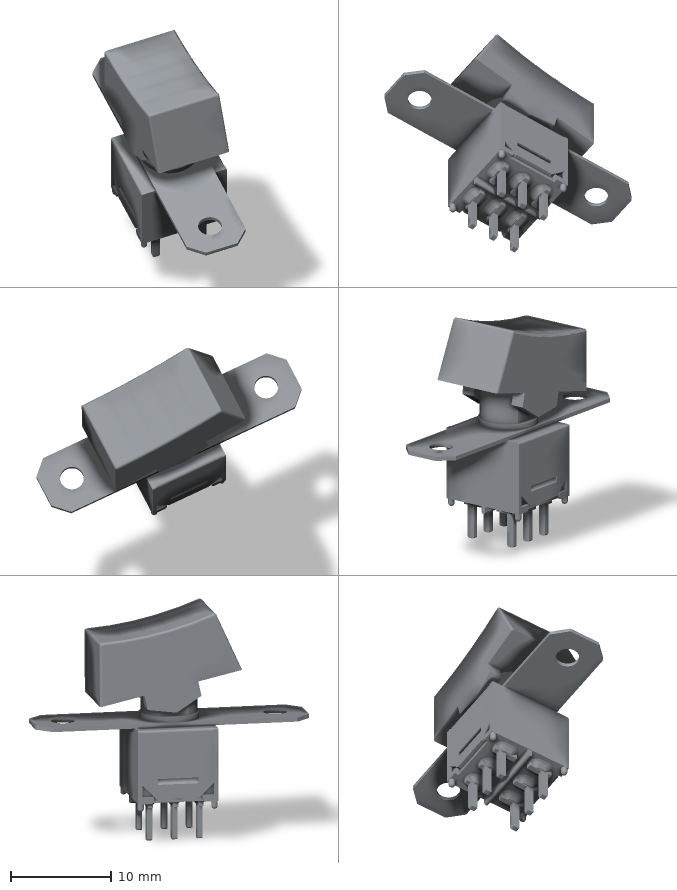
import cadquery as cq
import math


plate_length = 27.8
plate_width = 6.35
plate_thickness = 0.42
plate_chamfer = 1.47
mount_hole_dia = 2.35
mount_hole_x = 10.8

flange_dia = 6.0
flange_top = 0.97
bushing_dia = 5.65
bushing_width = 4.8
bushing_top = 5.55

case_length = 8.15
case_width = 9.15
case_height = 7.45
case_edge_radius = 0.17
recess_length = 7.3
recess_height = 6.79
recess_depth = 0.45

tab_setback = 0.03
tab_height = 7.0
tab_chamfer = 1.47
tab_edge_radius = 0.25
notch_mid_x = 2.48
notch_end_x = 2.7
notch_top = 6.4
slot_length = 4.15
slot_top = 4.95
slot_bottom = 5.53
slot_depth = 0.55

peg_dia = 0.65
peg_straight = 0.5
peg_y = 4.23
rib_length = 8.0
rib_width = 0.45
rib_straight = 0.58

terminal_pitch = 2.55
terminal_row_y = 2.05
terminal_thickness = 0.53
blade_width = 2.55
blade_height = 0.67
pin_width = 0.78
pin_y = 2.5
pin_bottom = 11.55
pin_tip_radius = 0.2
seal_length = 2.75
seal_width = 2.09
seal_flare_height = 0.15
seal_flare_inset = 0.22
seal_cone_height = 0.45

tilt = 12.5
pivot_z = 1.59
rocker_width = 7.65
rocker_top = 8.87
rocker_sag = 0.5
rocker_underside = 2.53
rocker_top_half = 6.03
rocker_bottom_half = 7.4
cheek_half = 2.8
cheek_corner = 1.03
rocker_edge_radius = 0.25

OVERLAP = 0.15


def box(length, width, z_low, z_high, x=0.0, y=0.0):
    return cq.Workplane("XY", origin=(x, y, z_low)).rect(length, width).extrude(z_high - z_low)


def make_plate():
    plate = box(plate_length, plate_width, 0, plate_thickness).edges("|Z").chamfer(plate_chamfer)
    holes = cq.Workplane("XY").pushPoints([(-mount_hole_x, 0), (mount_hole_x, 0)])
    return plate.cut(holes.circle(mount_hole_dia / 2).extrude(plate_thickness))


def make_bushing():
    flange = cq.Workplane("XY").circle(flange_dia / 2).extrude(flange_top)
    barrel = cq.Workplane("XY").circle(bushing_dia / 2).extrude(bushing_top)
    return flange.union(barrel.intersect(box(bushing_dia, bushing_width, 0, bushing_top)))


def make_recess():
    """Space taken out of the -Y side: the tab's recess with the notch below it."""
    floor_y = -case_width / 2 + recess_depth
    recess = box(recess_length, recess_depth, -recess_height, 0, y=floor_y - recess_depth / 2)
    mid_z = -(notch_top + case_height) / 2
    notch = (
        cq.Workplane("XZ", origin=(0, floor_y, 0))
        .moveTo(-notch_end_x, -notch_top)
        .threePointArc((-notch_mid_x, mid_z), (-notch_end_x, -case_height))
        .lineTo(notch_end_x, -case_height)
        .threePointArc((notch_mid_x, mid_z), (notch_end_x, -notch_top))
        .close()
        .extrude(recess_depth)
    )
    return recess.union(notch)


def make_tab():
    """Tab on the -Y side with two cut lower corners and a rounded top edge."""
    outer_y = -case_width / 2 + tab_setback
    thickness = recess_depth - tab_setback
    half = recess_length / 2
    return (
        cq.Workplane("XZ", origin=(0, outer_y + thickness, 0))
        .moveTo(-half, 0)
        .lineTo(half, 0)
        .lineTo(half, -tab_height + tab_chamfer)
        .lineTo(half - tab_chamfer, -tab_height)
        .lineTo(-half + tab_chamfer, -tab_height)
        .lineTo(-half, -tab_height + tab_chamfer)
        .close()
        .extrude(thickness)
        .faces("<Y").edges(">Z").fillet(tab_edge_radius)
    )


def make_slot():
    """Wedge that is deepest at its top and runs out at its lower edge."""
    outer_y = -case_width / 2 + tab_setback
    return (
        cq.Workplane("YZ", origin=(-slot_length / 2, 0, 0))
        .polyline([(outer_y, -slot_bottom), (outer_y, -slot_top), (outer_y + slot_depth, -slot_top)])
        .close()
        .extrude(slot_length)
    )


def both_sides(shape):
    return shape.union(shape.mirror("XZ"))


def make_case():
    case = box(case_length, case_width, -case_height, 0)
    case = case.edges(">Z and |X").fillet(case_edge_radius)
    case = case.cut(both_sides(make_recess()))
    return case.union(both_sides(make_tab())).cut(both_sides(make_slot()))


def make_standoffs():
    """Four round-ended corner pegs and a middle rib with a round lower edge."""
    peg_radius = peg_dia / 2
    peg_x = case_length / 2 - peg_radius
    peg_end = -case_height - peg_straight
    corners = [(x, y) for x in (-peg_x, peg_x) for y in (-peg_y, peg_y)]
    rib_end = -case_height - rib_straight
    standoffs = box(rib_length, rib_width, rib_end, -case_height + OVERLAP)
    edge = cq.Workplane("YZ", origin=(-rib_length / 2, 0, rib_end))
    standoffs = standoffs.union(edge.circle(rib_width / 2).extrude(rib_length))
    for x, y in corners:
        peg = cq.Workplane("XY", origin=(x, y, peg_end))
        standoffs = standoffs.union(peg.circle(peg_radius).extrude(peg_straight + OVERLAP))
        standoffs = standoffs.union(peg.sphere(peg_radius))
    return standoffs


def make_seal(x, y):
    """Seal bead around a blade: a shallow flare against the case, then a 45 degree taper."""
    flare_taper = math.degrees(math.atan2(seal_flare_inset, seal_flare_height))
    flare = (
        cq.Workplane("XY", origin=(x, y, -case_height))
        .slot2D(seal_length, seal_width, 90)
        .extrude(-seal_flare_height, taper=flare_taper)
    )
    cone = (
        cq.Workplane("XY", origin=(x, y, -case_height - seal_flare_height))
        .slot2D(seal_length - 2 * seal_flare_inset, seal_width - 2 * seal_flare_inset, 90)
        .extrude(-seal_cone_height, taper=45)
    )
    return flare.union(cone)


def make_terminal(x, side):
    """Wide blade with a seal around it and an offset pin below; side is +1 or -1 in Y."""
    row_y = terminal_row_y
    inside = -case_height + OVERLAP
    blade_end = -case_height - blade_height
    blade = box(terminal_thickness, blade_width, blade_end, inside, x, side * row_y)
    pin = box(terminal_thickness, pin_width, -pin_bottom, inside, x, side * pin_y)
    pin = pin.edges("<Z and |X").fillet(pin_tip_radius)
    return blade.union(pin).union(make_seal(x, side * row_y))


def make_rocker():
    """Solid rocker with a dished top and two cheeks that straddle the bushing."""
    blank = (
        cq.Workplane("XZ", origin=(0, rocker_width / 2, 0))
        .moveTo(-rocker_top_half, rocker_top)
        .threePointArc((0, rocker_top - rocker_sag), (rocker_top_half, rocker_top))
        .lineTo(rocker_bottom_half, rocker_underside)
        .lineTo(cheek_half, rocker_underside)
        .lineTo(cheek_half, cheek_corner)
        .lineTo(0, 0)
        .lineTo(-cheek_half, cheek_corner)
        .lineTo(-cheek_half, rocker_underside)
        .lineTo(-rocker_bottom_half, rocker_underside)
        .close()
        .extrude(rocker_width)
    )
    margin = 0.28
    above = cq.selectors.BoxSelector(
        (-rocker_bottom_half, -rocker_width, rocker_underside + margin),
        (rocker_bottom_half, rocker_width, rocker_top + margin),
    )
    sharp_edge = cq.selectors.BoxSelector(
        (-rocker_bottom_half, 0, rocker_underside + margin),
        (-rocker_top_half - margin, rocker_width, rocker_top - margin),
    )
    rocker = blank.edges(above - sharp_edge).fillet(rocker_edge_radius)
    rocker = rocker.cut(box(2 * cheek_half, bushing_width, 0, rocker_underside))
    return rocker.rotate((0, 0, 0), (0, 1, 0), -tilt).translate((0, 0, pivot_z))


result = make_plate().union(make_bushing()).union(make_rocker()).union(make_case())
result = result.union(make_standoffs())
for terminal_x in (-terminal_pitch, 0, terminal_pitch):
    for row in (-1, 1):
        result = result.union(make_terminal(terminal_x, row))